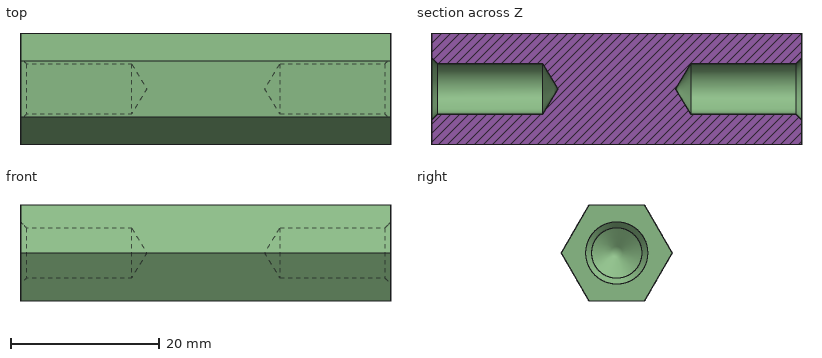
import cadquery as cq
import math

length = 50.0
across_flats = 13.0
across_corners = across_flats / math.cos(math.radians(30))

bore_diameter = 6.8
mouth_diameter = 8.4
bore_depth = 15.0
drill_point_angle = 118.0

bore_radius = bore_diameter / 2
mouth_radius = mouth_diameter / 2
countersink_depth = mouth_radius - bore_radius
point_depth = bore_radius / math.tan(math.radians(drill_point_angle / 2))


def hexagonal_bar():
    """Bar centred on the origin, with flats facing up and down."""
    return (
        cq.Workplane("YZ")
        .polygon(6, across_corners)
        .extrude(length / 2, both=True)
    )


def blind_hole():
    """Countersunk hole with a conical bottom, entering from the -X end."""
    face_x = -length / 2
    bore_end_x = face_x + bore_depth
    return (
        cq.Workplane("XY")
        .moveTo(face_x, 0)
        .lineTo(face_x, mouth_radius)
        .lineTo(face_x + countersink_depth, bore_radius)
        .lineTo(bore_end_x, bore_radius)
        .lineTo(bore_end_x + point_depth, 0)
        .close()
        .revolve(360, (0, 0, 0), (1, 0, 0))
    )


near_hole = blind_hole()
far_hole = near_hole.mirror("YZ")
result = hexagonal_bar().cut(near_hole).cut(far_hole)